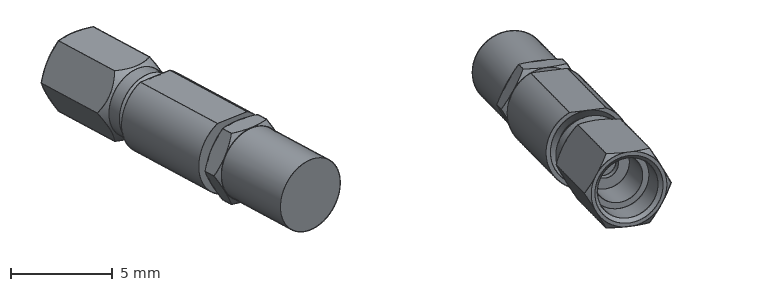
import cadquery as cq
import math

total_length = 17.78
nut_corner_end = 4.4
collar_start = 4.8
collar_bevel_start = 5.58
collar_end = 5.87
body_start = 6.12
body_end = 11.91
rear_hex_start = 12.32
rear_hex_end = 13.35

nut_flats = 3.93
rear_hex_flats = 3.96
collar_radius = 1.87
collar_end_radius = 1.65
neck_radius = 1.26
body_radius = 2.19
body_flats = 3.93
recess_radius = 1.95
recess_depth = 0.4
recess_floor_radius = 1.42
sleeve_radius = 1.95
bevel_face_radius = 1.97
bevel_angle = math.radians(30)

bore_mouth_radius = 1.78
bore_radius = 1.58
bore_depth = 1.56
bore_bevel = bore_mouth_radius - bore_radius
inner_radius = 1.26
inner_depth = 3.55
contact_radius = 0.7
contact_depth = 3.91


def cylinder(start, end, radius):
    """Solid cylinder on the X axis."""
    return cq.Workplane("YZ", origin=(start, 0, 0)).circle(radius).extrude(end - start)


def hexagon(start, end, flats):
    """Hexagonal bar with corners at +Y and -Y."""
    across_corners = flats / math.cos(math.pi / 6)
    return cq.Workplane("YZ", origin=(start, 0, 0)).polygon(6, across_corners).extrude(end - start)


def turned(profile):
    """Solid of revolution from (x, radius) points, closed along the X axis."""
    points = [(profile[0][0], 0), *profile, (profile[-1][0], 0)]
    return cq.Workplane("XY").polyline(points).close().revolve(360, (0, 0, 0), (1, 0, 0))


def coupling_nut():
    """Hexagon with beveled corners, running down to a round collar."""
    corner_radius = nut_flats / 2 / math.cos(math.pi / 6)
    front_bevel = (corner_radius - bevel_face_radius) * math.tan(bevel_angle)
    envelope = turned([
        (0, bevel_face_radius),
        (front_bevel, corner_radius),
        (nut_corner_end, corner_radius),
        (collar_start, collar_radius),
    ])
    collar = turned([
        (collar_start, collar_radius),
        (collar_bevel_start, collar_radius),
        (collar_end, collar_end_radius),
    ])
    return hexagon(0, collar_start, nut_flats).intersect(envelope).union(collar)


def flatted_body():
    """Round body with a flat on its top and bottom, with a conical recess in its front face."""
    length = body_end - body_start
    slab = cq.Workplane("XY").box(length, 2 * body_radius, body_flats)
    slab = slab.translate((body_start + length / 2, 0, 0))
    recess = turned([
        (body_start, recess_radius),
        (body_start + recess_depth, recess_floor_radius),
    ])
    return cylinder(body_start, body_end, body_radius).intersect(slab).cut(recess)


def rear_hex():
    """Thin hexagon with its corners beveled on both faces."""
    corner_radius = rear_hex_flats / 2 / math.cos(math.pi / 6)
    bevel = (corner_radius - bevel_face_radius) * math.tan(bevel_angle)
    envelope = turned([
        (rear_hex_start, bevel_face_radius),
        (rear_hex_start + bevel, corner_radius),
        (rear_hex_end - bevel, corner_radius),
        (rear_hex_end, bevel_face_radius),
    ])
    return hexagon(rear_hex_start, rear_hex_end, rear_hex_flats).intersect(envelope)


def socket():
    """Stepped bore with a beveled mouth and three successively smaller diameters."""
    return turned([
        (0, bore_mouth_radius),
        (bore_bevel, bore_radius),
        (bore_depth, bore_radius),
        (bore_depth, inner_radius),
        (inner_depth, inner_radius),
        (inner_depth, contact_radius),
        (contact_depth, contact_radius),
    ])


neck = cylinder(collar_end, rear_hex_start, neck_radius)
sleeve = cylinder(rear_hex_end, total_length, sleeve_radius)

result = coupling_nut().union(neck).union(flatted_body()).union(rear_hex()).union(sleeve)
result = result.cut(socket())